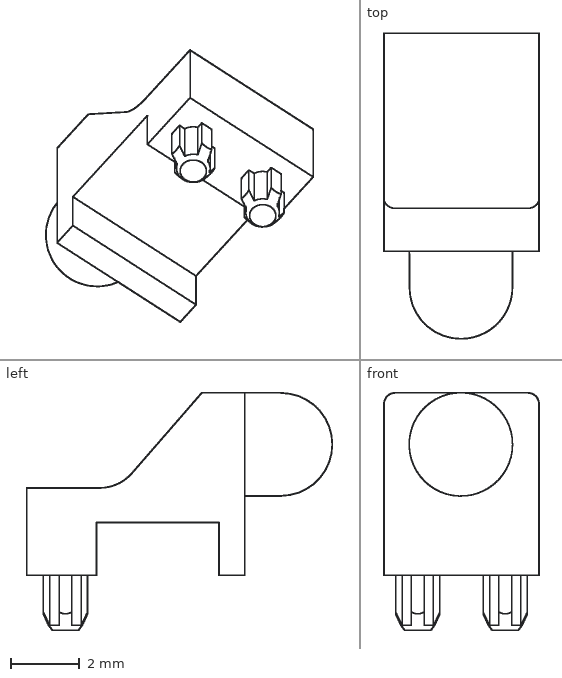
import cadquery as cq
import math

total_depth = 8.89
total_height = 6.91
width = 4.52
pin_length = 1.6
height = total_height - pin_length
corner_radius = 0.34

lens_radius = 1.5
lens_straight = 1.04
lens_x = -0.02
lens_z = height - lens_radius

depth = total_depth - lens_straight - lens_radius
base_height = 2.54
top_depth = 1.25
slope_angle = 49.0
slope_fillet = 1.245
slope_foot_y = top_depth + (height - base_height) / math.tan(math.radians(slope_angle))
front_leg = 0.76
rear_leg = 2.04
recess_height = 1.53

pin_spacing = 2.54
pin_from_back = 1.13
core_radius = 0.49
rib_span = 1.29
rib_width = 0.365
rib_taper_height = 0.39
tip_radius = 0.38
tip_height = 0.14


def make_housing():
    body = (
        cq.Workplane("YZ")
        .moveTo(0, 0)
        .lineTo(0, height)
        .lineTo(top_depth, height)
        .lineTo(slope_foot_y, base_height)
        .lineTo(depth, base_height)
        .lineTo(depth, 0)
        .lineTo(depth - rear_leg, 0)
        .lineTo(depth - rear_leg, recess_height)
        .lineTo(front_leg, recess_height)
        .lineTo(front_leg, 0)
        .close()
        .extrude(width / 2, both=True)
    )
    slope_foot = cq.selectors.NearestToPointSelector((0, slope_foot_y, base_height))
    body = body.edges(slope_foot).fillet(slope_fillet)

    rounded_outline = (
        cq.Workplane("XY")
        .box(width, depth, height, centered=(True, False, False))
        .edges("|Y and >Z")
        .fillet(corner_radius)
    )
    return body.intersect(rounded_outline)


def make_lens():
    diagonal = lens_radius * math.sqrt(0.5)
    return (
        cq.Workplane("XY")
        .moveTo(0, 0)
        .lineTo(lens_radius, 0)
        .lineTo(lens_radius, -lens_straight)
        .threePointArc(
            (diagonal, -lens_straight - diagonal),
            (0, -lens_straight - lens_radius),
        )
        .close()
        .revolve(360, (0, 0, 0), (0, 1, 0))
        .translate((lens_x, 0, lens_z))
    )


def make_pin():
    core = cq.Workplane("XY").circle(core_radius).extrude(-pin_length)
    rib_x = cq.Workplane("XY").rect(rib_span, rib_width).extrude(-pin_length)
    rib_y = cq.Workplane("XY").rect(rib_width, rib_span).extrude(-pin_length)

    envelope_radius = math.hypot(rib_span, rib_width) / 2
    core_end = tip_height - pin_length
    envelope = (
        cq.Workplane("XZ")
        .moveTo(0, 0)
        .lineTo(envelope_radius, 0)
        .lineTo(envelope_radius, core_end + rib_taper_height)
        .lineTo(core_radius, core_end)
        .lineTo(tip_radius, -pin_length)
        .lineTo(0, -pin_length)
        .close()
        .revolve(360, (0, 0, 0), (0, 1, 0))
    )
    return core.union(rib_x).union(rib_y).intersect(envelope)


result = make_housing().union(make_lens())
for side in (-1, 1):
    pin_position = (side * pin_spacing / 2, depth - pin_from_back, 0)
    result = result.union(make_pin().translate(pin_position))